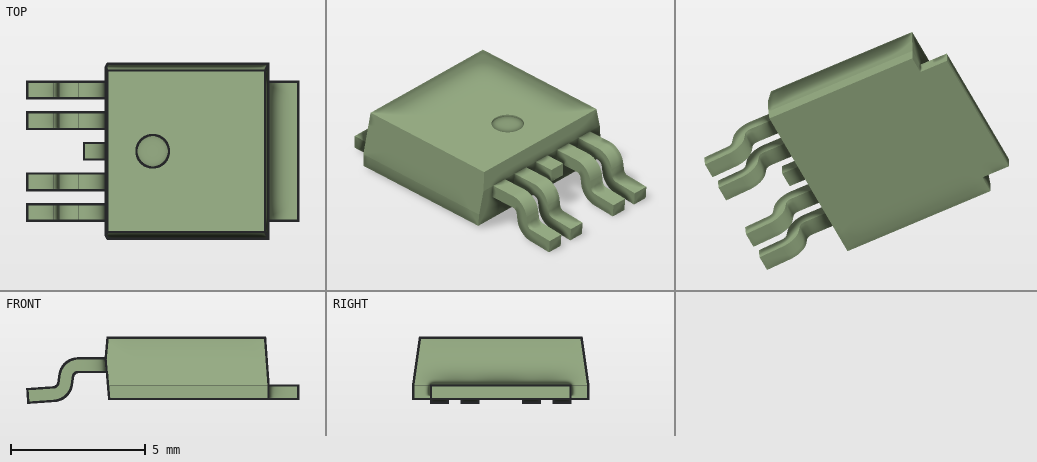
import cadquery as cq
import math


overall_length = 10.11
metal_thickness = 0.52

housing_height = 2.3
housing_width = 6.54
housing_top_width = 6.04
front_x_bottom = 3.05
front_x_parting = 2.92
front_x_top = 2.99
rear_x_bottom = 9.01
rear_x_top = 8.88
parting_z = 1.53

mark_diameter = 1.21
mark_depth = 0.08
mark_x = 4.68

lead_width = 0.63
lead_pitch = 1.14
lead_slots = (-2, -1, 1, 2)
inner_bend_radius = 0.2
outer_bend_radius = inner_bend_radius + metal_thickness
upper_bend_x = 1.91
leg_length = 0.29
leg_tilt = math.radians(8)
foot_slope = math.radians(4)
stub_tip_x = 2.11

tab_width = (lead_slots[-1] - lead_slots[0]) * lead_pitch + lead_width

lead_bottom_z = parting_z - metal_thickness


def front_face_x(z):
    """X of the housing's lead-side face at a height z below the parting line."""
    return front_x_bottom + (front_x_parting - front_x_bottom) * z / parting_z


def polar(center, radius, angle):
    """Point at a radius and angle from a center in the XZ plane."""
    return (center[0] + radius * math.cos(angle), center[1] + radius * math.sin(angle))


def extrude_across(profile, width, y=0.0):
    """Extrude a closed XZ profile to a width centered on y."""
    return profile.extrude(width / 2, both=True).translate((0, y, 0))


def make_housing():
    side_profile = cq.Workplane("XZ").polyline([
        (front_x_bottom, 0),
        (rear_x_bottom, 0),
        (rear_x_bottom, metal_thickness),
        (rear_x_top, housing_height),
        (front_x_top, housing_height),
        (front_x_parting, parting_z),
    ]).close()
    body = extrude_across(side_profile, housing_width)

    end_profile = cq.Workplane("YZ").polyline([
        (-housing_width / 2, 0),
        (housing_width / 2, 0),
        (housing_width / 2, metal_thickness),
        (housing_top_width / 2, housing_height),
        (-housing_top_width / 2, housing_height),
        (-housing_width / 2, metal_thickness),
    ]).close()
    body = body.intersect(end_profile.extrude(overall_length))

    mark = (
        cq.Workplane("XY", origin=(mark_x, 0, housing_height - mark_depth))
        .circle(mark_diameter / 2)
        .extrude(mark_depth)
    )
    return body.cut(mark)


def make_tab():
    length = overall_length - rear_x_bottom
    return (
        cq.Workplane("XY", origin=(rear_x_bottom, 0, 0))
        .box(length, tab_width, metal_thickness, centered=(False, True, False))
    )


def make_lead(y):
    upper_center = (upper_bend_x, parting_z - outer_bend_radius)
    upper_start = math.pi / 2
    upper_end = math.pi - leg_tilt
    upper_mid = (upper_start + upper_end) / 2

    leg_top = polar(upper_center, outer_bend_radius, upper_end)
    leg_bottom = (
        leg_top[0] - leg_length * math.sin(leg_tilt),
        leg_top[1] - leg_length * math.cos(leg_tilt),
    )
    lower_center = polar(leg_bottom, inner_bend_radius, upper_end)
    lower_start = -leg_tilt
    lower_end = foot_slope - math.pi / 2
    lower_mid = (lower_start + lower_end) / 2

    foot_heel = polar(lower_center, inner_bend_radius, lower_end)
    tip_top = (0, foot_heel[1] - foot_heel[0] * math.tan(foot_slope))
    tip_bottom = polar(tip_top, metal_thickness, lower_end)

    profile = (
        cq.Workplane("XZ")
        .moveTo(front_x_parting, parting_z)
        .lineTo(upper_bend_x, parting_z)
        .threePointArc(polar(upper_center, outer_bend_radius, upper_mid), leg_top)
        .lineTo(*leg_bottom)
        .threePointArc(polar(lower_center, inner_bend_radius, lower_mid), foot_heel)
        .lineTo(*tip_top)
        .lineTo(*tip_bottom)
        .lineTo(*polar(lower_center, outer_bend_radius, lower_end))
        .threePointArc(
            polar(lower_center, outer_bend_radius, lower_mid),
            polar(lower_center, outer_bend_radius, lower_start),
        )
        .lineTo(*polar(upper_center, inner_bend_radius, upper_end))
        .threePointArc(
            polar(upper_center, inner_bend_radius, upper_mid),
            (upper_bend_x, lead_bottom_z),
        )
        .lineTo(front_face_x(lead_bottom_z), lead_bottom_z)
        .close()
    )
    return extrude_across(profile, lead_width, y)


def make_stub():
    profile = cq.Workplane("XZ").polyline([
        (stub_tip_x, lead_bottom_z),
        (front_face_x(lead_bottom_z), lead_bottom_z),
        (front_x_parting, parting_z),
        (stub_tip_x, parting_z),
    ]).close()
    return extrude_across(profile, lead_width)


housing = make_housing()
tab = make_tab()
stub = make_stub()
leads = [make_lead(slot * lead_pitch) for slot in lead_slots]

result = cq.Compound.makeCompound([
    housing.val(),
    tab.val(),
    stub.val(),
    *[lead.val() for lead in leads],
])